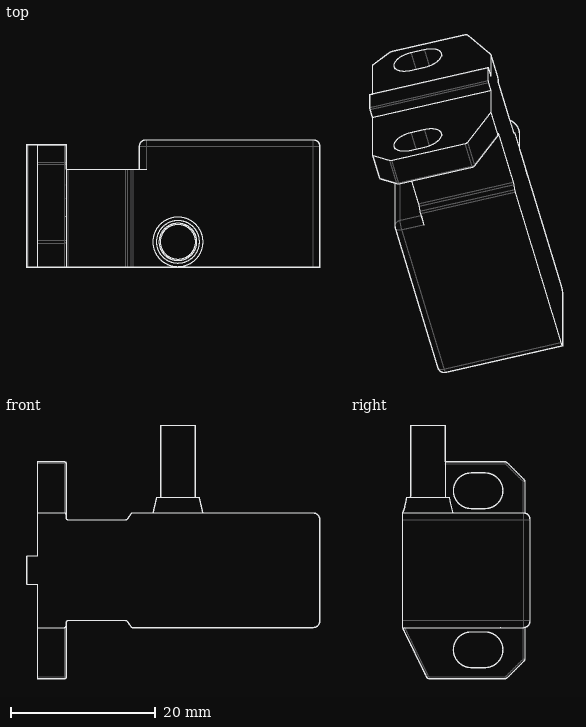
import cadquery as cq

LENGTH = 40.5
DEPTH = 17.6

BODY_HEIGHT = 15.88
BODY_DEPTH = 13.53
NECK_HEIGHT = 13.95
NECK_END_X = 13.85
BODY_START_X = 14.5
STEP_RADIUS = 0.35
CORNER_RADIUS = 0.97

LID_LENGTH = 24.95
LID_EDGE_RADIUS = 0.95

RIB_PROJECTION = 1.5
RIB_HEIGHT = 3.95
RIB_EDGE_RADIUS = 0.2
PLATE_THICKNESS = 4.0
PLATE_DEPTH = 16.93
PLATE_HEIGHT = 29.95
LID_SIDE_CHAMFER = 2.6
FLAT_SIDE_CUT_Y = 3.45
PLATE_EDGE_RADIUS = 0.3
PLATE_CORNER_RADIUS = 0.4
NECK_ROOT_RADIUS = 0.2

SLOT_LENGTH = 6.8
SLOT_WIDTH = 4.9
SLOT_Y = 10.45
SLOT_Z = 10.98

CABLE_X = 20.9
CABLE_Y = 3.52
CABLE_DIAMETER = 4.8
CABLE_TOP_Z = 20.0
COLLAR_HEIGHT = 2.1
COLLAR_BASE_RADIUS = 3.45
COLLAR_TOP_RADIUS = 2.95
COLLAR_BORE_RADIUS = 2.6

half_body = BODY_HEIGHT / 2
half_neck = NECK_HEIGHT / 2
half_plate = PLATE_HEIGHT / 2
plate_rear_x = RIB_PROJECTION + PLATE_THICKNESS


def make_plate():
    upper_half = [
        (0, half_body),
        (FLAT_SIDE_CUT_Y, half_plate),
        (PLATE_DEPTH - LID_SIDE_CHAMFER, half_plate),
        (PLATE_DEPTH, half_plate - LID_SIDE_CHAMFER),
    ]
    lower_half = [(y, -z) for y, z in reversed(upper_half)]
    plate = (
        cq.Workplane("YZ", origin=(RIB_PROJECTION, 0, 0))
        .polyline(upper_half + lower_half)
        .close()
        .extrude(PLATE_THICKNESS)
        .edges("|X and (not <Y)")
        .fillet(PLATE_CORNER_RADIUS)
    )
    flat_face_edge = cq.selectors.BoxSelector(
        (plate_rear_x - 0.4, -0.4, -0.4), (plate_rear_x + 0.4, 0.4, 0.4)
    )
    rear_rim = plate.faces(">X").edges()
    plate = rear_rim.edges(cq.selectors.InverseSelector(flat_face_edge)).fillet(PLATE_EDGE_RADIUS)
    slots = (
        cq.Workplane("YZ")
        .pushPoints([(SLOT_Y, SLOT_Z), (SLOT_Y, -SLOT_Z)])
        .slot2D(SLOT_LENGTH, SLOT_WIDTH)
        .extrude(plate_rear_x)
    )
    return plate.cut(slots)


def make_rib():
    return (
        cq.Workplane("XY")
        .box(plate_rear_x, PLATE_DEPTH, RIB_HEIGHT, centered=(False, False, True))
        .edges("<X and |Y")
        .fillet(RIB_EDGE_RADIUS)
    )


def make_body():
    root_z = half_neck + NECK_ROOT_RADIUS
    root_x = plate_rear_x + NECK_ROOT_RADIUS
    mid_offset = NECK_ROOT_RADIUS * (1 - 0.5**0.5)
    root_mid = (plate_rear_x + mid_offset, half_neck + mid_offset)
    body = (
        cq.Workplane("XZ")
        .moveTo(RIB_PROJECTION, -root_z)
        .lineTo(plate_rear_x, -root_z)
        .threePointArc((root_mid[0], -root_mid[1]), (root_x, -half_neck))
        .lineTo(NECK_END_X, -half_neck)
        .lineTo(BODY_START_X, -half_body)
        .lineTo(LENGTH, -half_body)
        .lineTo(LENGTH, half_body)
        .lineTo(BODY_START_X, half_body)
        .lineTo(NECK_END_X, half_neck)
        .lineTo(root_x, half_neck)
        .threePointArc(root_mid, (plate_rear_x, root_z))
        .lineTo(RIB_PROJECTION, root_z)
        .close()
        .extrude(-BODY_DEPTH)
    )
    step_region = cq.selectors.BoxSelector(
        (NECK_END_X - 0.4, 0, -BODY_HEIGHT), (BODY_START_X + 0.4, BODY_DEPTH, BODY_HEIGHT)
    )
    body = body.edges("|Y").edges(step_region).fillet(STEP_RADIUS)
    return body.edges(">X and |Y").fillet(CORNER_RADIUS)


def make_lid():
    lid = (
        cq.Workplane("XY", origin=(LENGTH - LID_LENGTH, 0, 0))
        .box(LID_LENGTH, DEPTH, BODY_HEIGHT, centered=(False, False, True))
        .edges("|Y")
        .fillet(CORNER_RADIUS)
        .faces(">Y")
        .edges()
        .fillet(LID_EDGE_RADIUS)
    )
    below_lid = cq.Workplane("XY").box(LENGTH, BODY_DEPTH, BODY_HEIGHT, centered=(False, False, True))
    return lid.cut(below_lid)


def make_cable():
    collar = (
        cq.Workplane("XY", origin=(CABLE_X, CABLE_Y, half_body))
        .circle(COLLAR_BASE_RADIUS)
        .workplane(offset=COLLAR_HEIGHT)
        .circle(COLLAR_TOP_RADIUS)
        .loft()
        .faces(">Z")
        .workplane()
        .circle(COLLAR_BORE_RADIUS)
        .cutBlind(-COLLAR_HEIGHT)
    )
    cable = (
        cq.Workplane("XY", origin=(CABLE_X, CABLE_Y, half_body))
        .circle(CABLE_DIAMETER / 2)
        .extrude(CABLE_TOP_Z - half_body)
    )
    return collar.union(cable)


result = make_body().union(make_plate()).union(make_rib()).union(make_lid()).union(make_cable())